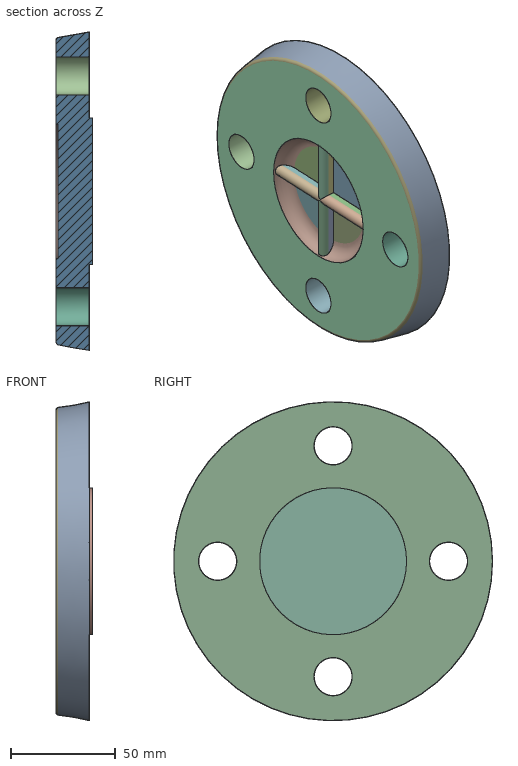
import cadquery as cq
import math

flange_diameter = 152.0
flange_thickness = 16.0
rim_draft_angle = 10.0
rim_fillet = 1.5

seat_diameter = 70.0
seat_height = 1.5

hole_diameter = 18.0
bolt_circle_diameter = 110.0
hole_count = 4

recess_diameter = 64.0
recess_floor_diameter = 50.0
recess_depth = (recess_diameter - recess_floor_diameter) / 2

rib_width = 6.0
rib_top_depth = 1.0


def disc(diameter, x_start, length):
    """Cylinder about the X axis."""
    return cq.Workplane("YZ", origin=(x_start, 0, 0)).circle(diameter / 2).extrude(length)


def make_flange():
    """Drafted disc, smaller at the outer face, with the raised seat behind it."""
    back_radius = flange_diameter / 2
    front_radius = back_radius - flange_thickness * math.tan(math.radians(rim_draft_angle))
    body = (
        cq.Workplane("XY")
        .polyline([
            (0, 0),
            (0, front_radius),
            (flange_thickness, back_radius),
            (flange_thickness, 0),
        ])
        .close()
        .revolve(360, (0, 0, 0), (1, 0, 0))
        .faces("<X")
        .edges()
        .fillet(rim_fillet)
    )
    return body.union(disc(seat_diameter, flange_thickness, seat_height))


def make_recess():
    """Dish-shaped cutter with a quarter-round wall that runs out tangent to the flat floor."""
    recess_radius = recess_diameter / 2
    floor_radius = recess_floor_diameter / 2
    arc_offset = recess_depth * math.sqrt(0.5)
    return (
        cq.Workplane("XY")
        .moveTo(0, 0)
        .lineTo(0, recess_radius)
        .threePointArc((arc_offset, floor_radius + arc_offset), (recess_depth, floor_radius))
        .lineTo(recess_depth, 0)
        .close()
        .revolve(360, (0, 0, 0), (1, 0, 0))
    )


def make_rib():
    """Rib along Y, with a half-round crest and straight flanks down to the recess floor."""
    half_width = rib_width / 2
    flank_top = rib_top_depth + half_width
    return (
        cq.Workplane("XZ", origin=(0, recess_diameter / 2, 0))
        .moveTo(recess_depth, -half_width)
        .lineTo(flank_top, -half_width)
        .threePointArc((rib_top_depth, 0), (flank_top, half_width))
        .lineTo(recess_depth, half_width)
        .close()
        .extrude(recess_diameter)
    )


def make_bolt_holes():
    """Cutters for the through holes, starting on the Y axis."""
    return (
        cq.Workplane("YZ")
        .polarArray(bolt_circle_diameter / 2, 0, 360, hole_count)
        .circle(hole_diameter / 2)
        .extrude(flange_thickness)
    )


rib_along_y = make_rib()
rib_along_z = rib_along_y.rotate((0, 0, 0), (1, 0, 0), 90)
rib_cross = rib_along_y.union(rib_along_z)

recess_cutter = make_recess().cut(rib_cross)

result = make_flange().cut(recess_cutter).cut(make_bolt_holes())